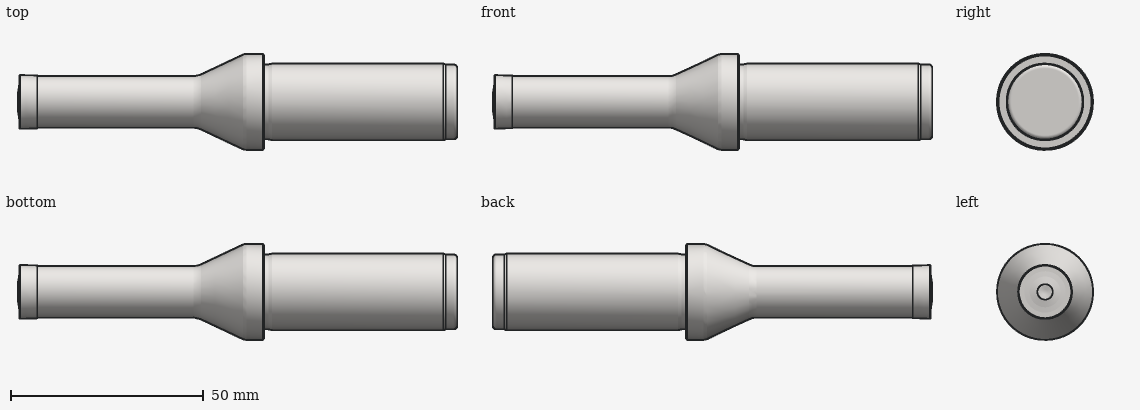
import cadquery as cq

LENGTH = 114.0

SPLIT_X = 5.1
TIP_DIAMETER = 14.0
TIP_REAR_DIAMETER = 13.8
TIP_BEVEL = 0.2
TIP_FACE_X = 0.5
RING_DIAMETER = 10.7
RING_DROP = 0.1
NOSE_DIAMETER = 8.0
DIMPLE_DIAMETER = 4.0
DIMPLE_DEPTH = 0.3

STEM_DIAMETER = 13.5
CONE_START_X = 46.6
CONE_END_X = 58.8
FLANGE_DIAMETER = 25.0
FLANGE_END_X = 64.0
FLANGE_CHAMFER = 0.5
CONE_START_RADIUS = 4.6
CONE_END_RADIUS = 2.3
SHANK_DIAMETER = 20.0
RELIEF_DIAMETER = 19.5
RELIEF_END_X = 65.0
SHANK_START_X = 66.0
SHANK_END_X = 110.4
END_RELIEF_X = 110.9
END_FILLET = 1.0


def revolve_profile(points):
    """Turn a closed (axial position, radius) outline about the X axis."""
    return cq.Workplane("XY").polyline(points).close().revolve(360, (0, 0, 0), (1, 0, 0))


def circle_at(body, x):
    """Select the circular edge centred on the axis nearest to position x."""
    return body.edges("%CIRCLE").edges(cq.NearestToPointSelector((x, 0, 0)))


def make_tip():
    """Back-tapered tip with a shallow conical nose and a centre dimple."""
    rim = TIP_DIAMETER / 2
    return revolve_profile([
        (DIMPLE_DEPTH, 0),
        (0, DIMPLE_DIAMETER / 2),
        (TIP_FACE_X - RING_DROP, NOSE_DIAMETER / 2),
        (TIP_FACE_X, RING_DIAMETER / 2),
        (TIP_FACE_X, rim - TIP_BEVEL),
        (TIP_FACE_X + TIP_BEVEL, rim),
        (SPLIT_X, TIP_REAR_DIAMETER / 2),
        (SPLIT_X, 0),
    ])


def make_holder():
    """Stem, conical shoulder, flange and relieved cylindrical shank."""
    stem = STEM_DIAMETER / 2
    flange = FLANGE_DIAMETER / 2
    relief = RELIEF_DIAMETER / 2
    shank = SHANK_DIAMETER / 2
    body = revolve_profile([
        (SPLIT_X, 0),
        (SPLIT_X, stem),
        (CONE_START_X, stem),
        (CONE_END_X, flange),
        (FLANGE_END_X - FLANGE_CHAMFER, flange),
        (FLANGE_END_X, flange - FLANGE_CHAMFER),
        (FLANGE_END_X, relief),
        (RELIEF_END_X, relief),
        (SHANK_START_X, shank),
        (SHANK_END_X, shank),
        (END_RELIEF_X, relief),
        (LENGTH, relief),
        (LENGTH, 0),
    ])
    body = circle_at(body, CONE_START_X).fillet(CONE_START_RADIUS)
    body = circle_at(body, CONE_END_X).fillet(CONE_END_RADIUS)
    return circle_at(body, LENGTH).fillet(END_FILLET)


tip = make_tip()
holder = make_holder()
result = cq.Compound.makeCompound([tip.val(), holder.val()])